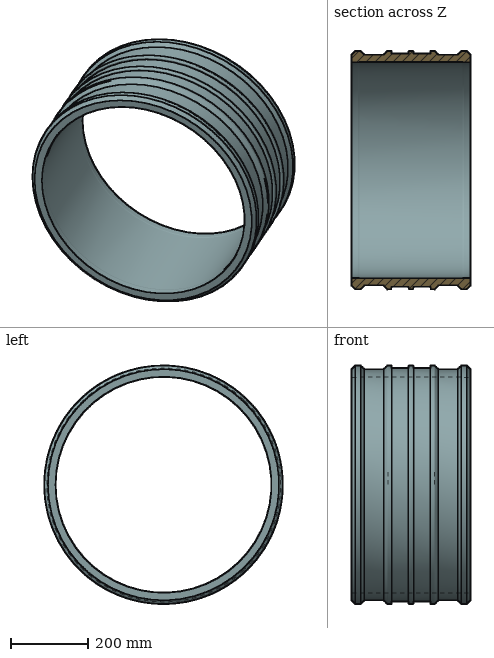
import cadquery as cq

length = 310.0
outer_diameter = 620.0
groove_diameter = 600.0
band_diameter = 607.5
lip_diameter = 560.0
bore_diameter = 561.0

half_length = length / 2
outer_radius = outer_diameter / 2
groove_radius = groove_diameter / 2
band_radius = band_diameter / 2
lip_radius = lip_diameter / 2
bore_radius = bore_diameter / 2
collar_height = outer_radius - groove_radius

collar_width = 34.0
collar_inner = half_length - collar_width

shoulder_inner = 50.0
shoulder_outer = 71.0
shoulder_crest = shoulder_outer - collar_height
shoulder_fillet = 2.0

rib_half_width = 7.0
rib_fillet = 4.0

lip_width = 18.0
lip_ramp = 4.0
lip_end = half_length - lip_width


def ring_body():
    """Revolve the mirror-symmetric wall section, without fillets, about the X axis."""
    right_half = [
        (rib_half_width, outer_radius),
        (rib_half_width, band_radius),
        (shoulder_inner, band_radius),
        (shoulder_inner, outer_radius),
        (shoulder_crest, outer_radius),
        (shoulder_outer, groove_radius),
        (collar_inner, groove_radius),
        (collar_inner + collar_height, outer_radius),
        (half_length - collar_height, outer_radius),
        (half_length, groove_radius),
        (half_length, lip_radius),
        (lip_end, lip_radius),
        (lip_end - lip_ramp, bore_radius),
    ]
    left_half = [(-x, radius) for x, radius in reversed(right_half)]
    section = cq.Workplane("XY").polyline(right_half + left_half).close()
    return section.revolve(360, (0, 0, 0), (1, 0, 0))


def round_crests(body, distance, fillet_radius):
    """Fillet the outermost circular edges lying at a distance either side of mid-length."""
    tolerance = 0.05

    def is_crest(edge):
        on_plane = abs(abs(edge.Center().x) - distance) < tolerance
        return on_plane and abs(edge.radius() - outer_radius) < tolerance

    return body.edges("%CIRCLE").filter(is_crest).fillet(fillet_radius)


result = ring_body()
result = round_crests(result, rib_half_width, rib_fillet)
result = round_crests(result, shoulder_inner, shoulder_fillet)
result = round_crests(result, shoulder_crest, shoulder_fillet)